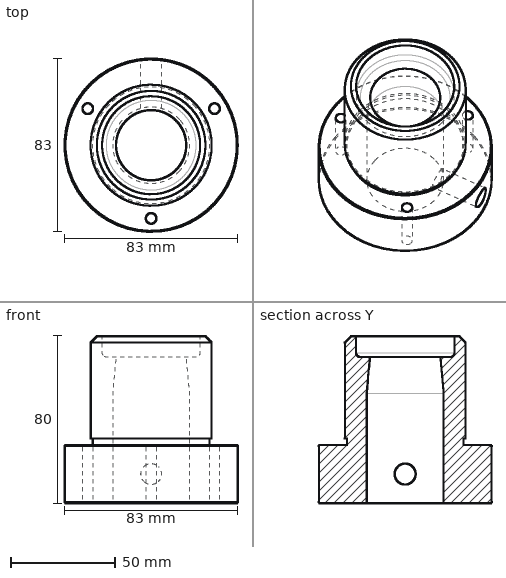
import cadquery as cq
import math

flange_diameter = 83.0
total_height = 80.0
flange_height = 28.0
flange_edge_chamfer = 0.5

spigot_diameter = 58.0
spigot_chamfer = 3.0
relief_diameter = 56.0
relief_height = 3.0

taper_top_diameter = 33.5
taper_bottom_diameter = 36.7
taper_length = 17.4
counterbore_diameter = 47.0
counterbore_depth = 10.0
counterbore_fillet = 2.0

radial_hole_diameter = 10.0

hole_diameter = 5.0
hole_circle_radius = 35.0
hole_angles = (30, 150, 270)


def cylinder(diameter, bottom, top):
    return cq.Workplane("XY").workplane(offset=bottom).circle(diameter / 2).extrude(top - bottom)


relief_top = flange_height + relief_height
flange = cylinder(flange_diameter, 0, flange_height).edges().chamfer(flange_edge_chamfer)
relief = cylinder(relief_diameter, 0, relief_top)
spigot = cylinder(spigot_diameter, relief_top, total_height).faces(">Z").edges().chamfer(spigot_chamfer)
body = flange.union(relief).union(spigot)

counterbore = cylinder(counterbore_diameter, total_height - counterbore_depth, total_height)
counterbore = counterbore.faces("<Z").edges().fillet(counterbore_fillet)
body = body.cut(counterbore)

taper_top = total_height - counterbore_depth
taper_bottom = taper_top - taper_length
bore = (
    cq.Workplane("XZ")
    .moveTo(0, 0)
    .lineTo(taper_bottom_diameter / 2, 0)
    .lineTo(taper_bottom_diameter / 2, taper_bottom)
    .lineTo(taper_top_diameter / 2, taper_top)
    .lineTo(0, taper_top)
    .close()
    .revolve(360, (0, 0, 0), (0, 1, 0))
)
body = body.cut(bore)

radial_hole = (
    cq.Workplane("XZ")
    .center(0, flange_height / 2)
    .circle(radial_hole_diameter / 2)
    .extrude(-flange_diameter / 2)
)
body = body.cut(radial_hole)

hole_centers = [
    (
        hole_circle_radius * math.cos(math.radians(angle)),
        hole_circle_radius * math.sin(math.radians(angle)),
    )
    for angle in hole_angles
]
holes = cq.Workplane("XY").pushPoints(hole_centers).circle(hole_diameter / 2).extrude(flange_height)

result = body.cut(holes)